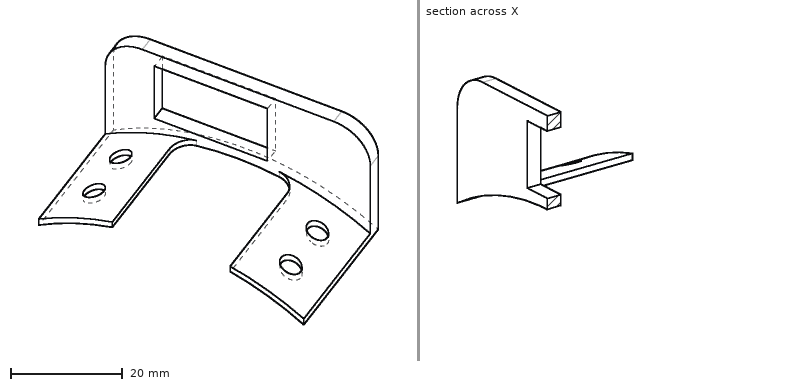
import cadquery as cq
import math

width = 54.0
depth = 28.0
height = 26.0
half_width = width / 2

plate_thickness = 3.0
plate_corner_radius = 7.5
window_width = 23.0
window_height = 13.0
window_left_margin = 10.0
window_top_margin = 3.0

saddle_radius = 50.75
foot_thickness = 1.3
foot_width = 15.0
gap_corner_radius = 3.5
saddle_axis_z = -math.sqrt(saddle_radius**2 - half_width**2)

hole_diameter = 4.0
hole_spacing = 10.0
hole_side_margin = 6.95
hole_end_margin = 8.0

plate_front = depth - plate_thickness


def saddle_cylinder(radius):
    """Full-depth cylinder about the saddle axis."""
    return (
        cq.Workplane("XZ", origin=(0, 0, saddle_axis_z))
        .circle(radius)
        .extrude(-depth)
    )


def make_plate():
    """Upright plate with rounded top corners and an off-centre window."""
    plate = (
        cq.Workplane("XY", origin=(0, plate_front, 0))
        .box(width, plate_thickness, height, centered=(True, False, False))
        .edges("|Y and >Z")
        .fillet(plate_corner_radius)
    )
    window = cq.Workplane("XY").box(
        window_width, plate_thickness, window_height, centered=False
    ).translate((
        window_left_margin - half_width,
        plate_front,
        height - window_top_margin - window_height,
    ))
    return plate.cut(window)


def make_feet():
    """Curved sheet split by a gap whose inner corners are rounded against the plate."""
    gap_width = width - 2 * foot_width
    sheet = cq.Workplane("XY").box(width, plate_front, height, centered=(True, False, False))
    gap = (
        cq.Workplane("XY")
        .box(gap_width, plate_front, height, centered=(True, False, False))
        .edges("|Z and >Y")
        .fillet(gap_corner_radius)
    )
    return sheet.cut(gap).intersect(saddle_cylinder(saddle_radius + foot_thickness))


def make_holes():
    """Vertical screw holes, a pair in each foot."""
    hole_x = half_width - hole_side_margin
    centers = [
        (side * hole_x, hole_end_margin + index * hole_spacing)
        for side in (-1, 1)
        for index in range(2)
    ]
    return cq.Workplane("XY").pushPoints(centers).circle(hole_diameter / 2).extrude(height)


result = make_plate().union(make_feet()).cut(saddle_cylinder(saddle_radius)).cut(make_holes())